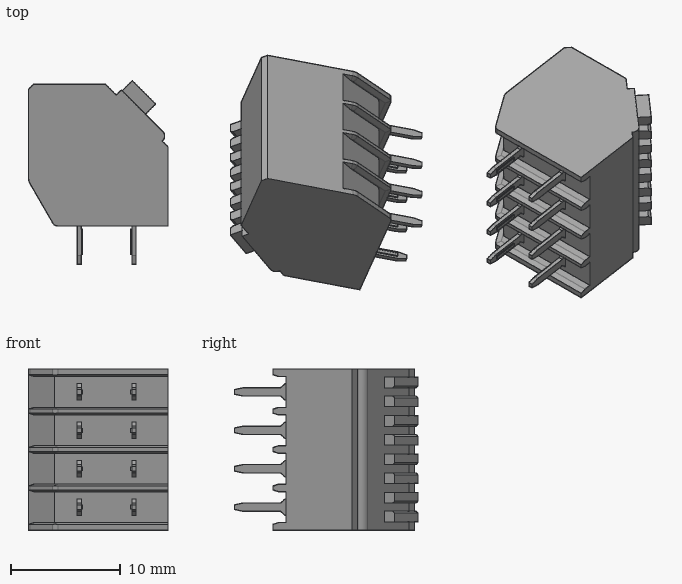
import cadquery as cq
import math

overall_length = 16.72
width = 12.7
height = 14.7
housing_depth = 12.9

pole_count = 4
pole_pitch = 3.5
first_pole_z = (height - (pole_count - 1) * pole_pitch) / 2
pole_centers = [first_pole_z + i * pole_pitch for i in range(pole_count)]

back_chamfer = 0.47
lead_in_height = 4.1
lead_in_angle = 60.0
lead_in_run = lead_in_height / math.tan(math.radians(lead_in_angle))
lead_in_top_radius = 1.05
lead_in_bottom_radius = 0.54

slope_start_x = 7.0
slope_drop = width - slope_start_x
band_start = 1.39
band_length = 5.94
band_height = 0.65
band_end_radius = 0.59

recess_depth = 1.2
gap_width = 3.13
bevel_height = 0.17
bevel_depth = 0.52
bevel_overrun = 1.67
bevel_angle = math.degrees(math.atan(bevel_depth / bevel_height))

tab_start = 1.5
tab_length = 3.01
tab_height = 1.3
tab_span = 2.68
tab_gap = 0.74
tab_chamfer_width = 0.18
tab_chamfer_depth = 0.27

pin_spacing = 5.0
pin_thickness = 0.38
left_pin_x = 4.61
pin_width = 0.79
pin_tip_width = 0.43
pin_shoulder_width = 1.5
shoulder_start_y = 1.1
shoulder_end_y = 0.74
tip_start_y = -2.68
pin_rib_width = 0.35
pin_rib_height = 0.12
pin_rib_start_y = -0.28
pin_rib_end_y = -2.6


def on_slope(along, above):
    """XY point at a distance along the 45 degree face and a height above it."""
    x = slope_start_x + (along + above) / math.sqrt(2)
    y = housing_depth + (above - along) / math.sqrt(2)
    return (x, y)


tab_top = band_height + tab_height
pin_tip_y = on_slope(tab_start, tab_top)[1] - overall_length


def prism(points, z_low, z_high):
    """XY polygon extruded between two Z levels."""
    return cq.Workplane("XY", origin=(0, 0, z_low)).polyline(points).close().extrude(z_high - z_low)


def round_lead_in(solid):
    """Round both ends of the slanted lead-in face."""
    solid = solid.edges(cq.selectors.NearestToPointSelector((0, lead_in_height, height / 2)))
    solid = solid.fillet(lead_in_top_radius)
    solid = solid.edges(cq.selectors.NearestToPointSelector((lead_in_run, 0, height / 2)))
    return solid.fillet(lead_in_bottom_radius)


def make_envelope():
    """Full-height housing without recesses."""
    body = prism(
        [
            (lead_in_run, 0),
            (width, 0),
            (width, housing_depth - slope_drop),
            (slope_start_x, housing_depth),
            (back_chamfer, housing_depth),
            (0, housing_depth - back_chamfer),
            (0, lead_in_height),
        ],
        0,
        height,
    )
    band_end = band_start + band_length
    band = prism(
        [
            on_slope(band_start, -band_height),
            on_slope(band_start, band_height),
            on_slope(band_end, band_height),
            on_slope(band_end, -band_height),
        ],
        0,
        height,
    )
    rounded_x, rounded_y = on_slope(band_end, band_height)
    rounded_edge = cq.selectors.NearestToPointSelector((rounded_x, rounded_y, height / 2))
    band = band.edges(rounded_edge).fillet(band_end_radius)
    return round_lead_in(body).union(band)


def make_recess(center_z):
    """Space between two flanges, widening outward over the flange bevels."""
    recess = prism(
        [
            (0, lead_in_height + recess_depth),
            (lead_in_run, recess_depth),
            (width, recess_depth),
            (width, 0),
            (0, 0),
        ],
        center_z - gap_width / 2,
        center_z + gap_width / 2,
    )
    for side in (-1, 1):
        recess = recess.cut(make_bevel(center_z + side * gap_width / 2, -side))
    return recess


def make_bevel(rim_z, direction):
    """Bevelled layer of a flange, run past the +X side so that end stays square.

    The lower lead-in corner stays sharp, so the two bevels meet there in a mitre.
    """
    outline = [
        (lead_in_run, 0),
        (width + bevel_overrun, 0),
        (width + bevel_overrun, housing_depth),
        (0, housing_depth),
        (0, lead_in_height),
    ]
    sketch = cq.Sketch().polygon(outline + outline[:1])
    sketch = sketch.vertices(cq.selectors.NearestToPointSelector((0, lead_in_height, 0)))
    sketch = sketch.fillet(lead_in_top_radius).reset()
    layer = cq.Workplane("XY").placeSketch(sketch).extrude(bevel_height, taper=bevel_angle)
    if direction < 0:
        layer = layer.mirror("XY")
    return layer.translate((0, 0, rim_z))


def make_tabs(center_z):
    """Pair of tabs on the raised band, chamfered along the gap between them."""
    base_x, base_y = on_slope(tab_start, band_height)
    plane = cq.Plane(origin=(base_x, base_y, center_z), xDir=(0, 0, -1), normal=(1, -1, 0))
    inner = tab_gap / 2
    outer = tab_span / 2
    half = (
        cq.Workplane(plane)
        .polyline(
            [
                (inner, -band_height),
                (inner, tab_height - tab_chamfer_depth),
                (inner + tab_chamfer_width, tab_height),
                (outer, tab_height),
                (outer, -band_height),
            ]
        )
        .close()
        .extrude(tab_length)
    )
    return half.union(half.mirror("XY", (0, 0, center_z)))


def make_pin(center_x, center_z, rib_side):
    """Flat solder pin with shoulders, a tapered tip and a rib on one face."""
    right_side = [
        (pin_shoulder_width / 2, recess_depth),
        (pin_shoulder_width / 2, shoulder_start_y),
        (pin_width / 2, shoulder_end_y),
        (pin_width / 2, tip_start_y),
        (pin_tip_width / 2, pin_tip_y),
    ]
    left_side = [(-z, y) for z, y in reversed(right_side)]
    plane = cq.Plane(origin=(center_x, 0, center_z), xDir=(0, 0, 1), normal=(-1, 0, 0))
    blade = cq.Workplane(plane).polyline(right_side + left_side).close()
    blade = blade.extrude(pin_thickness / 2, both=True)
    rib = cq.Workplane("XY").box(pin_rib_height, pin_rib_start_y - pin_rib_end_y, pin_rib_width)
    rib_x = center_x + rib_side * (pin_thickness + pin_rib_height) / 2
    rib = rib.translate((rib_x, (pin_rib_start_y + pin_rib_end_y) / 2, center_z))
    return blade.union(rib)


result = make_envelope()
for pole_z in pole_centers:
    result = result.cut(make_recess(pole_z))
    result = result.union(make_tabs(pole_z))
    result = result.union(make_pin(left_pin_x, pole_z, 1))
    result = result.union(make_pin(left_pin_x + pin_spacing, pole_z, -1))